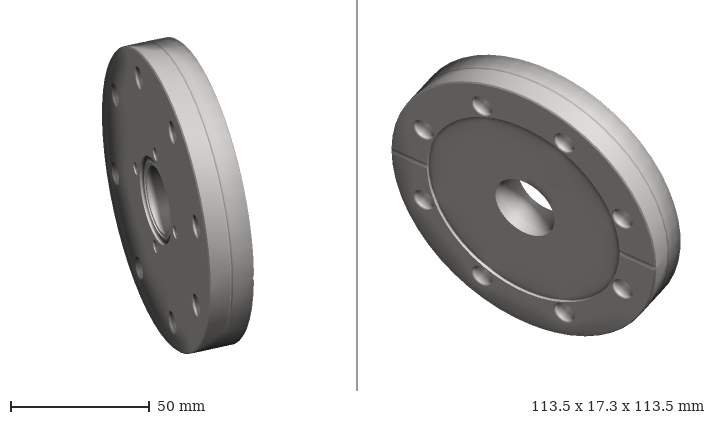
import math
import cadquery as cq

FLANGE_DIAMETER = 113.5
THICKNESS = 17.3
RIM_CHAMFER = 0.5
RADIUS = FLANGE_DIAMETER / 2
FRONT_Y = -THICKNESS / 2
BACK_Y = THICKNESS / 2

RIM_GROOVE_WIDTH = 1.0
RIM_GROOVE_DEPTH = 0.2

BORE_DIAMETER = 25.4
WELD_GROOVE_DIAMETER = 33.02
WELD_GROOVE_DEPTH = 1.6
LIP_OUTER_DIAMETER = 27.9
LIP_INNER_DIAMETER = 27.4
LIP_TOP_DEPTH = 0.7
LIP_COUNTERBORE_DEPTH = 0.5

SEAL_RECESS_DIAMETER = 82.5
SEAL_RECESS_DEPTH = 1.2
LEAK_GROOVE_WIDTH = 2.4
LEAK_GROOVE_DEPTH = 0.7

BOLT_COUNT = 8
BOLT_HOLE_DIAMETER = 8.4
BOLT_HOLE_CHAMFER = 0.3
BOLT_CIRCLE_DIAMETER = 92.1

BLIND_COUNT = 4
BLIND_HOLE_DIAMETER = 4.92
BLIND_HOLE_DEPTH = 10.0
BLIND_CIRCLE_DIAMETER = 41.3
DRILL_POINT_ANGLE = 118.0


def revolve_profile(points):
    """Turn a closed profile of (radius, y) points about the Y axis."""
    profile = cq.Workplane("XY").polyline(points).close()
    return profile.revolve(360, (0, 0, 0), (0, 1, 0))


def circle_positions(diameter, count, start_angle):
    """Return evenly spaced (x, z) positions on a circle about the Y axis."""
    positions = []
    for index in range(count):
        angle = math.radians(start_angle + 360 * index / count)
        x = diameter / 2 * math.cos(angle)
        z = diameter / 2 * math.sin(angle)
        positions.append((x, z))
    return positions


def flange_blank():
    """Chamfered disc with its bore, rim groove and sealing recess."""
    return revolve_profile([
        (BORE_DIAMETER / 2, FRONT_Y),
        (RADIUS - RIM_CHAMFER, FRONT_Y),
        (RADIUS, FRONT_Y + RIM_CHAMFER),
        (RADIUS, -RIM_GROOVE_WIDTH / 2),
        (RADIUS - RIM_GROOVE_DEPTH, 0),
        (RADIUS, RIM_GROOVE_WIDTH / 2),
        (RADIUS, BACK_Y - RIM_CHAMFER),
        (RADIUS - RIM_CHAMFER, BACK_Y),
        (SEAL_RECESS_DIAMETER / 2, BACK_Y),
        (SEAL_RECESS_DIAMETER / 2, BACK_Y - SEAL_RECESS_DEPTH),
        (BORE_DIAMETER / 2, BACK_Y - SEAL_RECESS_DEPTH),
    ])


def weld_recess():
    """Recess with a straight outer wall, a conical lip and a counterbore inside the lip."""
    lip_top_y = FRONT_Y + LIP_TOP_DEPTH
    counterbore_y = lip_top_y + LIP_COUNTERBORE_DEPTH
    return revolve_profile([
        (0, FRONT_Y),
        (WELD_GROOVE_DIAMETER / 2, FRONT_Y),
        (WELD_GROOVE_DIAMETER / 2, FRONT_Y + WELD_GROOVE_DEPTH),
        (LIP_OUTER_DIAMETER / 2, lip_top_y),
        (LIP_INNER_DIAMETER / 2, lip_top_y),
        (LIP_INNER_DIAMETER / 2, counterbore_y),
        (0, counterbore_y),
    ])


def bolt_hole():
    """Through hole on the Y axis, chamfered at both faces."""
    radius = BOLT_HOLE_DIAMETER / 2
    return revolve_profile([
        (0, FRONT_Y),
        (radius + BOLT_HOLE_CHAMFER, FRONT_Y),
        (radius, FRONT_Y + BOLT_HOLE_CHAMFER),
        (radius, BACK_Y - BOLT_HOLE_CHAMFER),
        (radius + BOLT_HOLE_CHAMFER, BACK_Y),
        (0, BACK_Y),
    ])


def blind_hole():
    """Drilled hole on the Y axis, entering from the front face."""
    radius = BLIND_HOLE_DIAMETER / 2
    point_length = radius / math.tan(math.radians(DRILL_POINT_ANGLE / 2))
    floor_y = FRONT_Y + BLIND_HOLE_DEPTH
    return revolve_profile([
        (0, FRONT_Y),
        (radius, FRONT_Y),
        (radius, floor_y),
        (0, floor_y + point_length),
    ])


def leak_groove():
    """V groove along X across the whole back rim."""
    profile = cq.Workplane("YZ").polyline([
        (BACK_Y, -LEAK_GROOVE_WIDTH / 2),
        (BACK_Y - LEAK_GROOVE_DEPTH, 0),
        (BACK_Y, LEAK_GROOVE_WIDTH / 2),
    ]).close()
    return profile.extrude(RADIUS, both=True)


result = flange_blank()
result = result.cut(weld_recess())
result = result.cut(leak_groove())

bolt_start_angle = 180 / BOLT_COUNT
for x, z in circle_positions(BOLT_CIRCLE_DIAMETER, BOLT_COUNT, bolt_start_angle):
    result = result.cut(bolt_hole().translate((x, 0, z)))

for x, z in circle_positions(BLIND_CIRCLE_DIAMETER, BLIND_COUNT, 0):
    result = result.cut(blind_hole().translate((x, 0, z)))